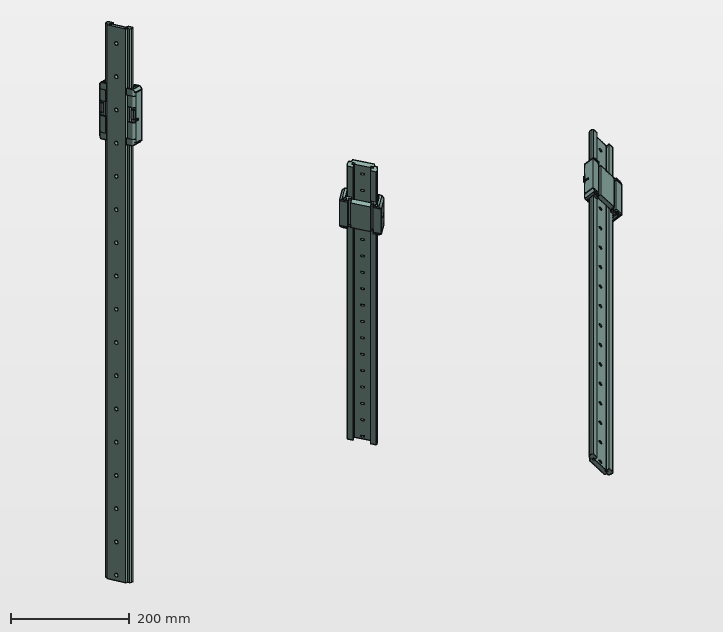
import cadquery as cq
import math


rail_length = 1000.0
total_depth = 24.0
front_y = -total_depth / 2
back_y = total_depth / 2

rail_half_width = 26.0
rail_draft = 1.5
web_half_width = 19.0
web_thickness = 8.0
flange_height = 14.0
flange_inner_x = 15.0
ledge_y = -8.0
draft_start_y = -4.0
flange_chamfer = 1.5

relief_outer_x = 18.0
relief_inner_x = 14.0
relief_back_y = -3.5
relief_front_y = -6.5

hole_diameter = 6.5
hole_pitch = 60.0
hole_count = 17
first_hole_offset = 10.0

carriage_half_width = 36.5
carriage_center_z = 342.0
carriage_body_length = 90.0
plate_thickness = 8.0
slot_depth = 5.0
slot_inner_x = 17.0
slot_outer_x = 22.0
arm_inner_x = 27.5
arm_front_y = -7.5
arm_back_chamfer = 0.5

boss_inner_x = 29.0
boss_outer_x = 34.5
boss_bottom_z = 339.0
boss_top_z = 356.0
retainer_gap_bottom_z = 333.0
retainer_gap_top_z = 360.0

side_groove_height = 3.0
side_groove_depth = 2.0
side_groove_back_y = 1.0
side_groove_z = 337.0

cap_thickness = 6.0
cap_side_chamfer = 4.5
cap_hook_length = 6.0
cap_hook_inner_x = 20.5
cap_recess_diameter = 5.0
cap_recess_depth = 3.0
cap_recess_x = 27.5
cap_recess_y = 9.0

skin_front_y = -11.0
skin_flat_x = 29.5
retainer_inner_x = 22.0
running_gap = 0.5

web_back_y = front_y + web_thickness
flange_back_y = front_y + flange_height
plate_front_y = back_y - plate_thickness
slot_floor_y = back_y - slot_depth
hook_back_y = ledge_y - running_gap
body_bottom_z = carriage_center_z - carriage_body_length / 2
body_top_z = carriage_center_z + carriage_body_length / 2
skin_run = carriage_half_width - skin_flat_x
skin_rise = arm_front_y - skin_front_y
skin_radius = (skin_run**2 + skin_rise**2) / (2 * skin_rise)
skin_mid_angle = math.asin(skin_run / skin_radius) / 2
skin_mid_x = skin_flat_x + skin_radius * math.sin(skin_mid_angle)
skin_mid_y = skin_front_y + skin_radius * (1 - math.cos(skin_mid_angle))


def extrude_along_z(outline, bottom_z, length):
    """Extrude a closed XY outline upward from bottom_z."""
    return cq.Workplane("XY", origin=(0, 0, bottom_z)).polyline(outline).close().extrude(length)


def box_between(x_range, y_range, z_range):
    """Box given by its two limits along each axis."""
    sizes = [abs(high - low) for low, high in (x_range, y_range, z_range)]
    center = tuple((low + high) / 2 for low, high in (x_range, y_range, z_range))
    return cq.Workplane("XY").box(*sizes).translate(center)


def mirrored(half_outline):
    """Complete an outline given on the +X side with its mirror image on the -X side."""
    return half_outline + [(-x, y) for x, y in reversed(half_outline)]


def make_rail():
    half_outline = [
        (web_half_width, front_y),
        (web_half_width + rail_draft, ledge_y),
        (rail_half_width - rail_draft, ledge_y),
        (rail_half_width, draft_start_y),
        (rail_half_width, flange_back_y - flange_chamfer),
        (rail_half_width - flange_chamfer, flange_back_y),
        (flange_inner_x, flange_back_y),
        (flange_inner_x, relief_back_y),
        (relief_outer_x, relief_back_y),
        (relief_outer_x, relief_front_y),
        (relief_inner_x, relief_front_y),
        (relief_inner_x, web_back_y),
    ]
    rail = extrude_along_z(mirrored(half_outline), -rail_length / 2, rail_length)
    for index in range(hole_count):
        hole_z = -rail_length / 2 + first_hole_offset + index * hole_pitch
        hole_start = cq.Workplane("XZ", origin=(0, front_y, hole_z))
        hole = hole_start.circle(hole_diameter / 2).extrude(-web_thickness)
        rail = rail.cut(hole)
    return rail


def make_carriage():
    half_outline = [
        (slot_inner_x, back_y),
        (slot_inner_x, slot_floor_y),
        (slot_outer_x, slot_floor_y),
        (slot_outer_x, back_y),
        (carriage_half_width - arm_back_chamfer, back_y),
        (carriage_half_width, back_y - arm_back_chamfer),
        (carriage_half_width, arm_front_y),
        (arm_inner_x, arm_front_y),
        (arm_inner_x, plate_front_y),
    ]
    carriage = extrude_along_z(mirrored(half_outline), body_bottom_z, carriage_body_length)
    for side in (-1, 1):
        boss = box_between(
            (side * boss_inner_x, side * boss_outer_x),
            (skin_front_y, arm_front_y),
            (boss_bottom_z, boss_top_z),
        )
        side_groove = box_between(
            (side * (carriage_half_width - side_groove_depth), side * carriage_half_width),
            (arm_front_y, side_groove_back_y),
            (side_groove_z - side_groove_height / 2, side_groove_z + side_groove_height / 2),
        )
        carriage = carriage.union(boss).cut(side_groove)
    return carriage


def make_skin(side, inner_x, bottom_z, top_z):
    """Strip on the front of an arm: rounded on the outside, reaching in front of the rail flange."""
    return (
        cq.Workplane("XY", origin=(0, 0, bottom_z))
        .moveTo(side * carriage_half_width, arm_front_y)
        .threePointArc((side * skin_mid_x, skin_mid_y), (side * skin_flat_x, skin_front_y))
        .lineTo(side * inner_x, skin_front_y)
        .lineTo(side * inner_x, hook_back_y)
        .lineTo(side * arm_inner_x, hook_back_y)
        .lineTo(side * arm_inner_x, arm_front_y)
        .close()
        .extrude(top_z - bottom_z)
    )


def make_cap(side, end):
    """An end cap covers the end of one arm and hooks around its front; end is +1 for the top."""
    joint_z = carriage_center_z + end * carriage_body_length / 2
    outer_z = joint_z + end * cap_thickness
    hook_z = joint_z - end * cap_hook_length
    outline = [
        (side * slot_outer_x, back_y),
        (side * (carriage_half_width - arm_back_chamfer), back_y),
        (side * carriage_half_width, back_y - arm_back_chamfer),
        (side * carriage_half_width, arm_front_y),
        (side * arm_inner_x, arm_front_y),
        (side * arm_inner_x, plate_front_y),
        (side * slot_inner_x, plate_front_y),
        (side * slot_inner_x, slot_floor_y),
        (side * slot_outer_x, slot_floor_y),
    ]
    outer_edge = cq.selectors.NearestToPointSelector((side * carriage_half_width, 0, outer_z))
    plate = extrude_along_z(outline, min(joint_z, outer_z), cap_thickness)
    plate = plate.edges(outer_edge).chamfer(cap_side_chamfer)
    hook = make_skin(side, cap_hook_inner_x, min(hook_z, outer_z), max(hook_z, outer_z))
    corner_trim = (
        cq.Workplane("XZ", origin=(0, arm_front_y, 0))
        .polyline([
            (side * carriage_half_width, outer_z),
            (side * (carriage_half_width - cap_side_chamfer), outer_z),
            (side * carriage_half_width, outer_z - end * cap_side_chamfer),
        ])
        .close()
        .extrude(arm_front_y - skin_front_y)
    )
    recess = (
        cq.Workplane("XY", origin=(side * cap_recess_x, cap_recess_y, outer_z))
        .circle(cap_recess_diameter / 2)
        .extrude(-end * cap_recess_depth)
    )
    return plate.union(hook.cut(corner_trim)).cut(recess)


def make_retainer(side, bottom_z, top_z):
    """A retainer strip fills the front of an arm between the middle gap and a cap hook."""
    return make_skin(side, retainer_inner_x, bottom_z, top_z)


rail = make_rail()
carriage = make_carriage()
end_caps = [make_cap(side, end) for side in (-1, 1) for end in (-1, 1)]
retainer_spans = [
    (body_bottom_z + cap_hook_length, retainer_gap_bottom_z),
    (retainer_gap_top_z, body_top_z - cap_hook_length),
]
retainers = [make_retainer(side, low, high) for side in (-1, 1) for low, high in retainer_spans]

result = cq.Compound.makeCompound(
    [rail.val(), carriage.val()] + [body.val() for body in end_caps + retainers]
)